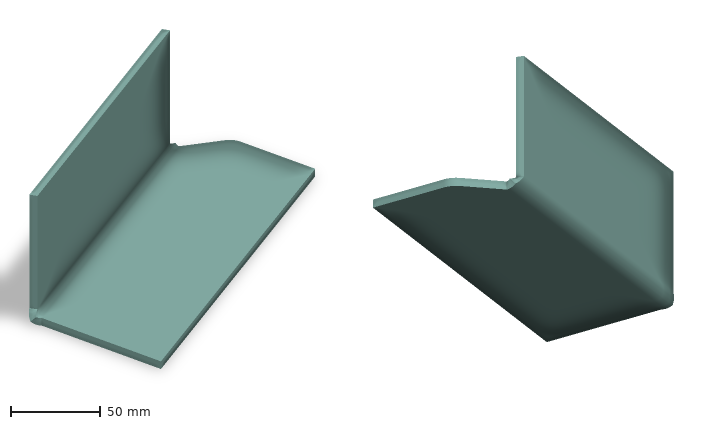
import cadquery as cq
import math

WIDTH = 89.5
LENGTH = 268.0
HEIGHT = 79.9
THICKNESS = 4.8
INNER_RADIUS = 3.5
OUTER_RADIUS = INNER_RADIUS + THICKNESS

BASE_BEND_START = 26.8
BASE_BEND_END = 250.3
BASE_FREE_END = 250.8
PEAK_X = 34.0
PEAK_RADIUS = 10.0

FLANGE_START = 29.5
FLANGE_END = 245.2
CREST_START = 24.7
CREST_END = 251.5

SOLVE_STEPS = 20


def sharp_peak_height():
    height = LENGTH
    for _ in range(SOLVE_STEPS):
        rise = math.atan2(height - BASE_BEND_END, PEAK_X - OUTER_RADIUS)
        fall = math.atan2(height - BASE_FREE_END, WIDTH - PEAK_X)
        center_drop = PEAK_RADIUS * math.cos((rise - fall) / 2) / math.cos((rise + fall) / 2)
        height = LENGTH - PEAK_RADIUS + center_drop
    return height


def make_base():
    outline = [
        (OUTER_RADIUS, BASE_BEND_START),
        (WIDTH, 0),
        (WIDTH, BASE_FREE_END),
        (PEAK_X, sharp_peak_height()),
        (OUTER_RADIUS, BASE_BEND_END),
    ]
    plate = cq.Workplane("XY").polyline(outline).close().extrude(THICKNESS)
    return plate.edges("|Z").edges(">Y").fillet(PEAK_RADIUS)


def make_flange():
    return cq.Workplane("XY").box(
        THICKNESS, FLANGE_END - FLANGE_START, HEIGHT - OUTER_RADIUS, centered=False
    ).translate((0, FLANGE_START, OUTER_RADIUS))


def radial_section(angle, start, end):
    """Rectangle through the bend axis direction, wider than the sheet on both faces."""
    margin = INNER_RADIUS / 2
    corners = []
    for radius, y in (
        (INNER_RADIUS - margin, start),
        (OUTER_RADIUS + margin, start),
        (OUTER_RADIUS + margin, end),
        (INNER_RADIUS - margin, end),
    ):
        x = OUTER_RADIUS - radius * math.sin(math.radians(angle))
        z = OUTER_RADIUS - radius * math.cos(math.radians(angle))
        corners.append(cq.Vector(x, y, z))
    return cq.Wire.makePolygon(corners, close=True)


def make_bend():
    tube = (
        cq.Workplane("XZ", origin=(OUTER_RADIUS, 0, OUTER_RADIUS))
        .circle(OUTER_RADIUS)
        .circle(INNER_RADIUS)
        .extrude(-LENGTH)
    )
    sections = [
        radial_section(0, BASE_BEND_START, BASE_BEND_END),
        radial_section(45, CREST_START, CREST_END),
        radial_section(90, FLANGE_START, FLANGE_END),
    ]
    envelope = cq.Solid.makeLoft(sections, True)
    return tube.intersect(cq.Workplane(obj=envelope))


result = make_base().union(make_bend()).union(make_flange())